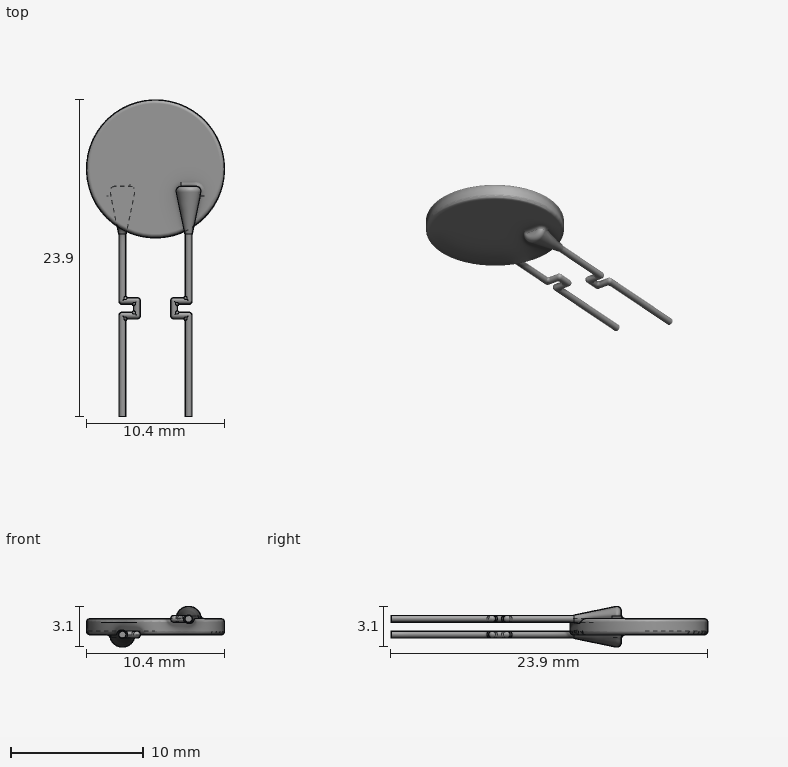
import cadquery as cq

disc_radius = 5.2
disc_thickness = 1.25
disc_edge_round = 0.29

lead_radius = 0.26
lead_spacing = 4.99
lead_x = lead_spacing / 2
lead_z = 0.6
lead_end_y = disc_radius - 23.85

jog_depth = 1.1
jog_length = 1.1
jog_start_y = -9.95
jog_end_y = jog_start_y - jog_length
brace_radius = 0.25
brace_setback = 0.3
lead_overlap = 0.29

cone_large_radius = 1.03
cone_small_radius = 0.29
cone_start_y = -1.31
cone_end_y = -4.9
cone_edge_round = 0.35

cone_blend_radius = 0.3
blend_inner_reach = 0.57
blend_end_y = -2.03
seam_margin = 0.02


def make_disc():
    disc = cq.Workplane("XY").cylinder(disc_thickness, disc_radius)
    return disc.edges().fillet(disc_edge_round)


def make_cone():
    """Tapered coating with a rounded large end, around the upper lead."""
    cone = cq.Solid.makeCone(
        cone_large_radius,
        cone_small_radius,
        cone_start_y - cone_end_y,
        cq.Vector(lead_x, cone_start_y, lead_z),
        cq.Vector(0, -1, 0),
    )
    return cq.Workplane(cone).edges(">Y").fillet(cone_edge_round)


def make_rod(start, end, radius):
    run = end - start
    return cq.Workplane(cq.Solid.makeCylinder(radius, run.Length, start, run))


def make_lead():
    """Round wire with the square jog; each corner has a ball outside and a brace inside."""
    path = [
        cq.Vector(x, y, lead_z)
        for x, y in [
            (lead_x, cone_end_y + lead_overlap),
            (lead_x, jog_start_y),
            (lead_x - jog_depth, jog_start_y),
            (lead_x - jog_depth, jog_end_y),
            (lead_x, jog_end_y),
            (lead_x, lead_end_y),
        ]
    ]
    lead = cq.Workplane("XY")
    for start, end in zip(path, path[1:]):
        lead = lead.union(make_rod(start, end, lead_radius))
    for before, corner, after in zip(path, path[1:], path[2:]):
        brace_start = corner + (before - corner).normalized() * brace_setback
        brace_end = corner + (after - corner).normalized() * brace_setback
        lead = lead.union(cq.Workplane("XY").sphere(lead_radius).translate(corner))
        lead = lead.union(make_rod(brace_start, brace_end, brace_radius))
    return lead


def to_lower_side(body):
    """Half turn about Y: the opposite face and the opposite side of the disc."""
    return body.rotate((0, 0, 0), (0, 1, 0), 180)


def make_blend(disc, cone):
    """Concave blend at the large end of the cone, running round its outer corner only."""
    seam = cq.selectors.BoxSelector(
        (lead_x - cone_large_radius, cone_start_y - cone_edge_round, 0),
        (lead_x + cone_large_radius, cone_start_y + seam_margin, disc_thickness),
    )
    blended = disc.union(cone).edges(seam).fillet(cone_blend_radius)
    width = cone_large_radius + cone_blend_radius + blend_inner_reach
    length = cone_start_y + cone_blend_radius - blend_end_y
    height = lead_z + cone_large_radius
    extent = cq.Workplane("XY").box(width, length, height, centered=(False, False, True))
    return blended.intersect(extent.translate((lead_x - blend_inner_reach, blend_end_y, 0)))


disc = make_disc()
cone = make_cone()
upper_half = cone.union(make_blend(disc, cone)).union(make_lead())
result = disc.union(upper_half).union(to_lower_side(upper_half))